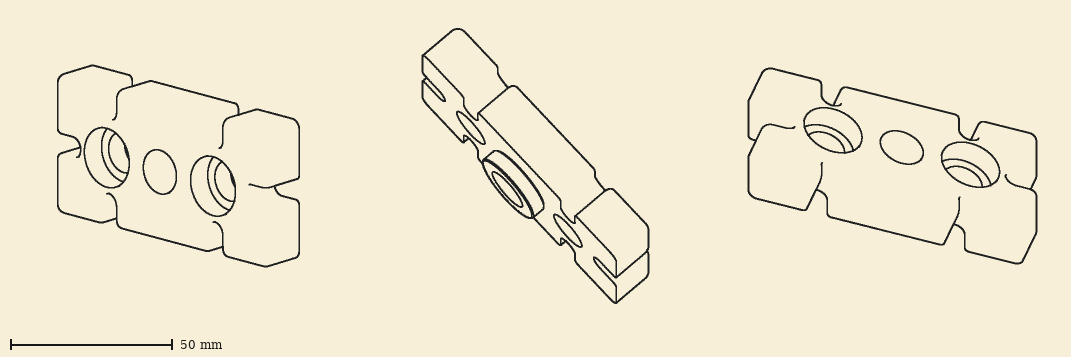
import cadquery as cq
import math

length = 90.0
height = 45.0
thickness = 15.0
outer_fillet = 3.0

slot_width = 6.6
slot_radius = slot_width / 2
slot_fillet = 1.5
slot_center_depth = 7.3

hole_offset = length / 4
hole_diameter = 13.0
counterbore_diameter = 19.0
counterbore_depth = 7.7

boss_diameter = 23.6
boss_height = 4.95
boss_chamfer = 0.4
center_hole_diameter = 14.0

front_y = 0.0
back_y = front_y + thickness
boss_end_y = back_y + boss_height


def cylinder_along_y(x, diameter, start_y, end_y):
    """Cylinder between two Y positions, centred at the given X and Z = 0."""
    base = cq.Workplane("XZ", origin=(x, start_y, 0)).circle(diameter / 2)
    return base.extrude(start_y - end_y)


def make_plate():
    """Block with rounded corners and a rounded front face; the back edges stay sharp."""
    block = cq.Workplane("XY").box(length, thickness, height).translate((0, front_y + thickness / 2, 0))
    return block.edges("|Y or <Y").fillet(outer_fillet)


def make_slot(edge_x, edge_z, angle):
    """Slot through the plate, entering at an edge point; at angle 0 it opens towards +Z."""
    slot = (
        cq.Workplane("XZ", origin=(0, front_y, 0))
        .moveTo(-slot_radius, 0)
        .lineTo(-slot_radius, -slot_center_depth)
        .threePointArc((0, -slot_center_depth - slot_radius), (slot_radius, -slot_center_depth))
        .lineTo(slot_radius, 0)
        .close()
        .extrude(-thickness)
    )
    return slot.rotate((0, 0, 0), (0, 1, 0), angle).translate((edge_x, 0, edge_z))


def cut_slot(plate, edge_x, edge_z, angle):
    """Cut one slot and round its rim, leaving the back face sharp."""
    plate = plate.cut(make_slot(edge_x, edge_z, angle))
    inward = slot_center_depth + slot_radius
    arc_x = edge_x - inward * math.sin(math.radians(angle))
    arc_z = edge_z - inward * math.cos(math.radians(angle))
    front_arc = cq.selectors.NearestToPointSelector((arc_x, front_y, arc_z))
    return plate.edges("%CIRCLE").edges(front_arc).fillet(slot_fillet)


def add_boss(plate):
    """Add the round boss, bevelled at both ends, and bore the central hole through everything."""
    boss = cylinder_along_y(0, boss_diameter, back_y, boss_end_y).edges("%CIRCLE").chamfer(boss_chamfer)
    bore = cylinder_along_y(0, center_hole_diameter, front_y, boss_end_y)
    return plate.union(boss).cut(bore)


def cut_counterbored_hole(plate, x):
    """Through hole along Y with its wide part opening at the front face."""
    hole = cylinder_along_y(x, hole_diameter, front_y, back_y)
    counterbore = cylinder_along_y(x, counterbore_diameter, front_y, front_y + counterbore_depth)
    return plate.cut(hole).cut(counterbore)


body = make_plate()
for side in (-1, 1):
    body = cut_slot(body, side * length / 2, 0, side * 90)
    body = cut_slot(body, side * hole_offset, height / 2, 0)
    body = cut_slot(body, side * hole_offset, -height / 2, 180)
body = add_boss(body)
for side in (-1, 1):
    body = cut_counterbored_hole(body, side * hole_offset)

result = body